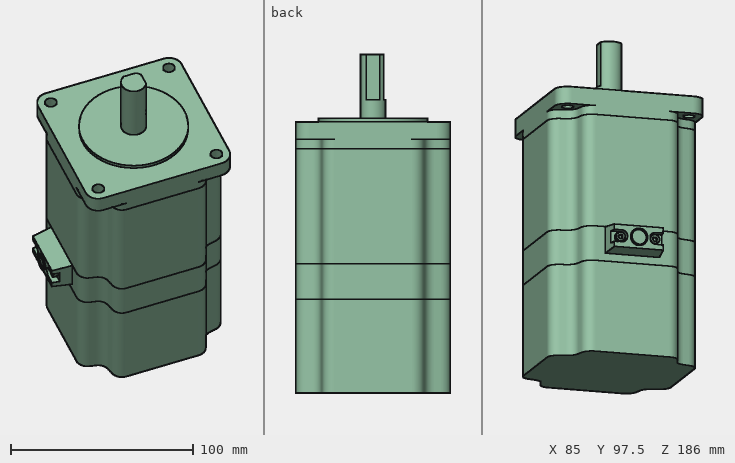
import cadquery as cq
import math

total_height = 186.0

side = 85.0
flange_corner_radius = 7.5
bolt_spacing = 70.0
bolt_hole_diameter = 6.5
face_flat_width = 42.8
shoulder_radius = 6.5
groove_radius = 6.5

rear_cover_top = 51.5
connector_ring_top = 71.0
stator_top = 134.3
flange_plate_bottom = 139.3
flange_top = 149.0

pilot_diameter = 60.0
pilot_height = 2.0
shaft_diameter = 14.0
shaft_flat_depth = 1.0
shaft_flat_length = 24.7

connector_base_width = 31.2
connector_base_height = 15.0
connector_face_width = 28.0
connector_face_height = 12.6
connector_depth = 11.5
cable_boss_diameter = 9.5
cable_boss_height = 1.0
cable_recess_diameter = 8.5
cable_recess_depth = 1.0
screw_spacing = 19.7
screw_slot_width = 6.7
screw_slot_depth = 4.5
screw_head_diameter = 5.2
screw_head_height = 2.8
screw_socket_diameter = 2.5
screw_socket_depth = 1.5

half_side = side / 2
half_bolt_spacing = bolt_spacing / 2
pilot_top = flange_top + pilot_height
connector_center_z = connector_ring_top - connector_base_height / 2
connector_face_y = -half_side - connector_depth


def polar_point(center, radius, angle):
    """Point on a circle, with the angle in radians from +X."""
    return (center[0] + radius * math.cos(angle), center[1] + radius * math.sin(angle))


def grooved_profile(bottom, top):
    """Square column whose four corners are concave grooves between rounded shoulders."""
    shoulder_center = (face_flat_width / 2, half_side - shoulder_radius)
    groove_center = (half_bolt_spacing, half_bolt_spacing)
    run = groove_center[0] - shoulder_center[0]
    drop = groove_center[1] - shoulder_center[1]

    wall_angle = math.atan2(drop, run) + math.acos((shoulder_radius + groove_radius) / math.hypot(run, drop))

    shoulder_start = (face_flat_width / 2, half_side)
    shoulder_middle = polar_point(shoulder_center, shoulder_radius, (math.pi / 2 + wall_angle) / 2)
    shoulder_end = polar_point(shoulder_center, shoulder_radius, wall_angle)
    groove_start = polar_point(groove_center, groove_radius, wall_angle + math.pi)
    groove_middle = polar_point(groove_center, groove_radius, math.radians(225))

    corner = [shoulder_start, shoulder_middle, shoulder_end, groove_start, groove_middle]
    corner += [(y, x) for x, y in reversed(corner[:4])]

    def turned(point, quarter_turns):
        x, y = point
        for _ in range(quarter_turns):
            x, y = y, -x
        return (x, y)

    outline = cq.Workplane("XY").workplane(offset=bottom).moveTo(*shoulder_start)
    for quarter_turns in range(4):
        points = [turned(point, quarter_turns) for point in corner]
        outline = outline.lineTo(*points[0]) if quarter_turns else outline
        outline = outline.threePointArc(points[1], points[2])
        outline = outline.lineTo(*points[3])
        outline = outline.threePointArc(points[4], points[5])
        outline = outline.lineTo(*points[6])
        outline = outline.threePointArc(points[7], points[8])
    return outline.close().extrude(top - bottom)


def make_flange():
    """Mounting plate with bolt holes, a pilot boss above and a grooved neck below."""
    plate = (
        cq.Workplane("XY")
        .workplane(offset=flange_plate_bottom)
        .rect(side, side)
        .extrude(flange_top - flange_plate_bottom)
        .edges("|Z")
        .fillet(flange_corner_radius)
    )
    bolt_holes = (
        cq.Workplane("XY")
        .workplane(offset=flange_plate_bottom)
        .rect(bolt_spacing, bolt_spacing, forConstruction=True)
        .vertices()
        .circle(bolt_hole_diameter / 2)
        .extrude(flange_top - flange_plate_bottom)
    )
    pilot = (
        cq.Workplane("XY")
        .workplane(offset=flange_top)
        .circle(pilot_diameter / 2)
        .extrude(pilot_height)
    )
    neck = grooved_profile(stator_top, flange_plate_bottom)
    return plate.cut(bolt_holes).union(pilot).union(neck)


def make_shaft():
    """Round shaft standing on the pilot, with two flats at right angles near its end."""
    shaft = (
        cq.Workplane("XY")
        .workplane(offset=pilot_top)
        .circle(shaft_diameter / 2)
        .extrude(total_height - pilot_top)
    )
    flat_offset = shaft_diameter - shaft_flat_depth
    flat_cutter = (
        cq.Workplane("XY")
        .workplane(offset=total_height - shaft_flat_length)
        .center(-flat_offset, 0)
        .rect(shaft_diameter, shaft_diameter)
        .extrude(shaft_flat_length)
    )
    for angle in (0, -90):
        shaft = shaft.cut(flat_cutter.rotate((0, 0, 0), (0, 0, 1), angle))
    return shaft


def connector_plane(y):
    """Workplane facing -Y at the given y, centered on the connector."""
    return cq.Workplane(cq.Plane(origin=(0, y, connector_center_z), xDir=(1, 0, 0), normal=(0, -1, 0)))


def make_connector_block():
    """Tapered block with a hollow cable boss and two screw heads in slots open to the sides."""
    block = (
        connector_plane(-half_side)
        .rect(connector_base_width, connector_base_height)
        .workplane(offset=connector_depth)
        .rect(connector_face_width, connector_face_height)
        .loft(combine=True)
    )
    cable_boss = connector_plane(connector_face_y).circle(cable_boss_diameter / 2).extrude(cable_boss_height)
    cable_recess = (
        connector_plane(connector_face_y - cable_boss_height)
        .circle(cable_recess_diameter / 2)
        .extrude(-cable_recess_depth)
    )
    block = block.union(cable_boss).cut(cable_recess)

    slot_floor = connector_plane(connector_face_y + screw_slot_depth)
    for direction in (-1, 1):
        screw_x = direction * screw_spacing / 2
        slot_round = slot_floor.center(screw_x, 0).circle(screw_slot_width / 2).extrude(screw_slot_depth)
        slot_opening = (
            slot_floor.center(screw_x + direction * connector_base_width / 4, 0)
            .rect(connector_base_width / 2, screw_slot_width)
            .extrude(screw_slot_depth)
        )
        screw_head = slot_floor.center(screw_x, 0).circle(screw_head_diameter / 2).extrude(screw_head_height)
        socket = (
            slot_floor.workplane(offset=screw_head_height)
            .center(screw_x, 0)
            .circle(screw_socket_diameter / 2)
            .extrude(-screw_socket_depth)
        )
        block = block.cut(slot_round).cut(slot_opening).union(screw_head.cut(socket))
    return block


def make_connector_ring():
    """Housing section that carries the cable connector."""
    return grooved_profile(rear_cover_top, connector_ring_top).union(make_connector_block())


rear_cover = grooved_profile(0, rear_cover_top)
connector_ring = make_connector_ring()
stator = grooved_profile(connector_ring_top, stator_top)
flange = make_flange()
shaft = make_shaft()

bodies = [rear_cover, connector_ring, stator, flange, shaft]
result = cq.Compound.makeCompound([body.val() for body in bodies])